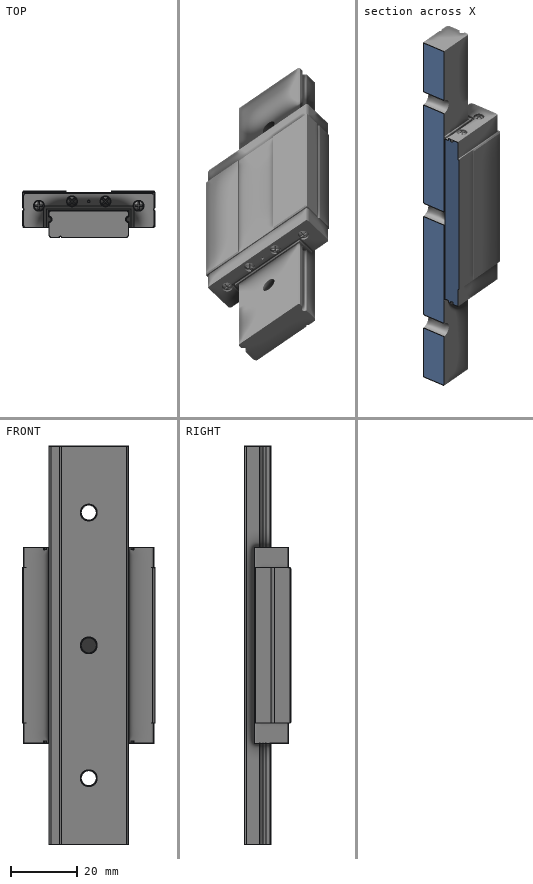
import cadquery as cq
import math

rail_length = 120.0
rail_width = 24.0
rail_height = 8.0
base_chamfer = 0.6
crown_chamfer = 0.4
raceway_radius = 1.2
raceway_height = 5.5
raceway_offset_out = 0.2
raceway_offset_up = 0.2
mark_groove_x = -8.5
mark_groove_radius = 0.4
hole_diameter = 4.5
hole_chamfer = 0.2
hole_pitch = rail_length / 3
hole_count = 3

carriage_width = 40.0
carriage_bottom = 3.0
carriage_top = 14.0
carriage_length = 59.0
block_length = 46.8
block_chamfer = 0.4
block_lower_chamfer = 0.7
top_relief_width = 13.8
top_relief_depth = 0.4
side_groove_y = 8.5
side_groove_radius = 0.6
side_groove_depth = 0.4

cap_side_inset = 0.4
cap_top_inset = 0.7
cap_fillet = 0.7
cap_bevel_height = 0.7
cap_bevel_inset = 0.2

running_clearance = 0.1

seal_width = 25.5
seal_top = 8.6
seal_groove_width = 0.8
seal_groove_depth = 0.7

outer_screw_x = 15.0
outer_screw_y = 9.6
inner_screw_x = 5.0
inner_screw_y = 10.9
screw_pocket_diameter = 3.2
screw_pocket_depth = 1.2
screw_head_diameter = 3.0
screw_dome_height = 0.6
cross_length = 2.3
cross_width = 0.5
cross_depth = 0.6
outer_cross_turn = 0
inner_cross_turn = 45
vent_diameter = 0.7
vent_depth = 0.7

end_z = carriage_length / 2
cap_width = carriage_width - 2 * cap_side_inset
cap_top = carriage_top - cap_top_inset


def bar(width, bottom, top, length):
    """Rectangular bar along Z, centred on x = 0 and z = 0, from y = bottom to y = top."""
    return cq.Workplane("XY").box(width, top - bottom, length).translate((0, (bottom + top) / 2, 0))


def rod(x, y, radius, length):
    """Round rod along Z, centred on z = 0."""
    return cq.Workplane("XY").center(x, y).circle(radius).extrude(length / 2, both=True)


def raceway(side, radius):
    """Pointed-arch rod on one flank of the rail: the overlap of two offset round rods."""
    x = side * (rail_width / 2 + raceway_offset_out)
    lower = rod(x, raceway_height - raceway_offset_up, radius, rail_length)
    upper = rod(x, raceway_height + raceway_offset_up, radius, rail_length)
    return lower.intersect(upper)


def make_rail():
    """Rail with raceways on both flanks, an identification groove and mounting holes."""
    rail = bar(rail_width, 0, rail_height, rail_length)
    rail = rail.edges("|Z and <Y").chamfer(base_chamfer)
    rail = rail.edges("|Z and >Y").chamfer(crown_chamfer)

    for side in (-1, 1):
        rail = rail.cut(raceway(side, raceway_radius))
    rail = rail.cut(rod(mark_groove_x, 0, mark_groove_radius, rail_length))

    for index in range(hole_count):
        z = (index - (hole_count - 1) / 2) * hole_pitch
        rail = rail.cut(mounting_hole().translate((0, 0, z)))
    return rail


def mounting_hole():
    """Through hole along Y, with a small chamfer at the base of the rail."""
    radius = hole_diameter / 2
    return (
        cq.Workplane("XY")
        .moveTo(0, 0)
        .lineTo(radius + hole_chamfer, 0)
        .lineTo(radius, hole_chamfer)
        .lineTo(radius, rail_height)
        .lineTo(0, rail_height)
        .close()
        .revolve(360, (0, 0, 0), (0, 1, 0))
    )


def make_block():
    """Middle block of the carriage, with a shallow relief on top and a groove on each side."""
    block = bar(carriage_width, carriage_bottom, carriage_top, block_length)
    block = block.edges("|Z and >Y").chamfer(block_chamfer)
    block = block.edges("|Z and <Y").chamfer(block_lower_chamfer, block_chamfer)
    block = block.edges("|X and >Y").chamfer(block_chamfer)
    relief = bar(top_relief_width, carriage_top - top_relief_depth, carriage_top, block_length)
    block = block.cut(relief)

    groove_x = carriage_width / 2 + side_groove_radius - side_groove_depth
    for side in (-1, 1):
        block = block.cut(rod(side * groove_x, side_groove_y, side_groove_radius, block_length))
    return block


def make_caps():
    """Both end caps as one bar that runs through the block."""
    caps = bar(cap_width, carriage_bottom, cap_top, carriage_length)
    caps = caps.edges("|Z and <Y").fillet(cap_fillet)
    return caps.edges("|Z and >Y").chamfer(cap_bevel_height, cap_bevel_inset)


def sunk_screw(body, x, y, turn):
    """Sink a screw into the upper end face: a round pocket holding a domed head with a cross slot."""
    pocket = (
        cq.Workplane("XY", origin=(x, y, end_z - screw_pocket_depth))
        .circle(screw_pocket_diameter / 2)
        .extrude(screw_pocket_depth)
    )
    head_radius = screw_head_diameter / 2
    shoulder = screw_pocket_depth - screw_dome_height
    chord_angle = math.atan2(screw_dome_height, head_radius)
    dome_radius = head_radius / math.sin(2 * chord_angle)
    dome_midpoint = (
        dome_radius * math.sin(chord_angle),
        screw_pocket_depth - dome_radius * (1 - math.cos(chord_angle)),
    )
    head = (
        cq.Workplane("XZ")
        .moveTo(0, 0)
        .lineTo(head_radius, 0)
        .lineTo(head_radius, shoulder)
        .threePointArc(dome_midpoint, (0, screw_pocket_depth))
        .close()
        .revolve(360, (0, 0, 0), (0, 1, 0))
    )
    for angle in (turn, turn + 90):
        slot = cq.Workplane("XY").box(cross_length, cross_width, 2 * cross_depth)
        head = head.cut(slot.rotate((0, 0, 0), (0, 0, 1), angle).translate((0, 0, screw_pocket_depth)))
    return body.cut(pocket).union(head.translate((x, y, end_z - screw_pocket_depth)))


def finish_upper_end(body):
    """Seal groove, screws and vent in the end face at +Z."""
    outer_width = seal_width + 2 * seal_groove_width
    groove = bar(outer_width, carriage_bottom, seal_top + seal_groove_width, seal_groove_depth)
    groove = groove.cut(bar(seal_width, carriage_bottom, seal_top, seal_groove_depth))
    body = body.cut(groove.translate((0, 0, end_z - seal_groove_depth / 2)))
    for side in (-1, 1):
        body = sunk_screw(body, side * outer_screw_x, outer_screw_y, outer_cross_turn)
        body = sunk_screw(body, side * inner_screw_x, inner_screw_y, inner_cross_turn)
    vent = cq.Workplane("XY", origin=(0, inner_screw_y, end_z - vent_depth)).circle(vent_diameter / 2)
    return body.cut(vent.extrude(vent_depth))


def channel():
    """Passage for the rail, with a ridge on each flank that runs in the raceway."""
    width = rail_width + 2 * running_clearance
    passage = bar(width, 0, rail_height + running_clearance, carriage_length)
    for side in (-1, 1):
        passage = passage.cut(raceway(side, raceway_radius - running_clearance))
    return passage


def make_carriage():
    """Block and end caps as one solid, cut open for the rail and finished at both ends."""
    carriage = make_block().union(make_caps())
    carriage = carriage.cut(channel())
    for _ in range(2):
        carriage = finish_upper_end(carriage).rotate((0, 0, 0), (0, 1, 0), 180)
    return carriage


rail = make_rail()
carriage = make_carriage()

result = cq.Compound.makeCompound([rail.val(), carriage.val()])